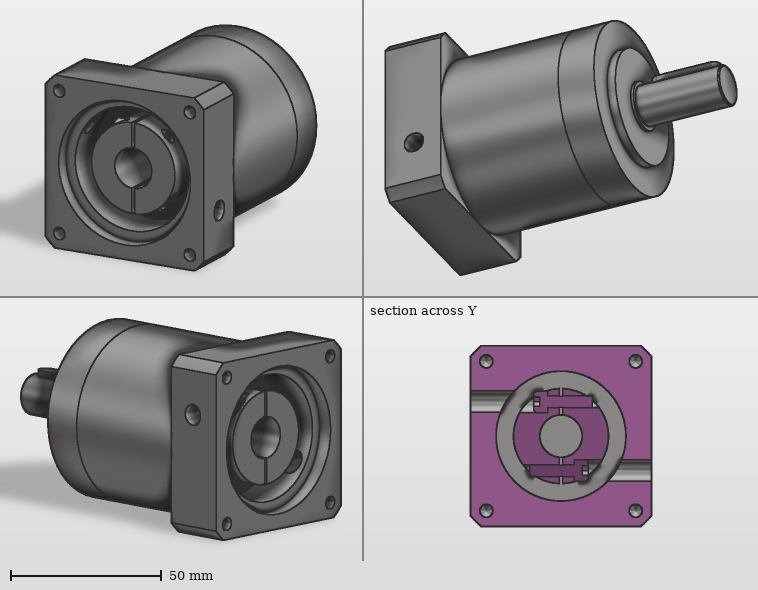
import cadquery as cq


TOTAL_LENGTH = 112.0
FLANGE_THICKNESS = 20.5
RING_END = 64.0
CAP_END = 77.2
PILOT_HEIGHT = 3.0
SHOULDER_HEIGHT = 1.0

HOUSING_WIDTH = 60.0
HOUSING_RADIUS = HOUSING_WIDTH / 2
CORNER_RADIUS = 40.0
PILOT_RADIUS = 20.0

RECESS_RADIUS = 25.0
RECESS_DEPTH = 5.0
CAVITY_RADIUS = 21.5
BOLT_OFFSET = 24.8
BOLT_HOLE_RADIUS = 2.1
BOLT_HOLE_DEPTH = 12.0

COLLAR_RADIUS = 15.8
COLLAR_FACE = 5.9
BORE_RADIUS = 7.0
BORE_DEPTH = 30.0
SLOT_WIDTH = 1.0

SCREW_Y = 10.6
SCREW_Z = 11.4
SHANK_RADIUS = 1.9
SHANK_TIP_X = 10.4
HEAD_RADIUS = 3.6
HEAD_SEAT_X = -4.5
HEAD_END_X = -9.1
HEAD_CHAMFER = 0.7
SOCKET_SIDES = 6
SOCKET_FLATS = 3.0
SOCKET_DEPTH = 2.0
ACCESS_RADIUS = 3.5

SHAFT_RADIUS = 7.0
SHAFT_CHAMFER = 0.5
SHOULDER_RADIUS = 8.5
KEY_WIDTH = 5.0
KEY_LENGTH = 25.0
KEY_TOP = 9.0
KEY_HEIGHT = 5.0
KEY_START = 84.2


def rod_y(radius, start, end):
    """Cylinder on the gearbox axis between two Y positions."""
    return cq.Workplane("XZ", origin=(0, start, 0)).circle(radius).extrude(start - end)


def rod_x(radius, start, end):
    """Cylinder on the upper screw axis between two X positions."""
    return cq.Workplane("YZ", origin=(start, SCREW_Y, SCREW_Z)).circle(radius).extrude(end - start)


def half_turn(body):
    """The body turned by half a turn about the gearbox axis."""
    return body.rotate((0, 0, 0), (0, 1, 0), 180)


def make_flange():
    """Square motor flange with rounded corners."""
    plate = cq.Workplane("XZ").rect(HOUSING_WIDTH, HOUSING_WIDTH).extrude(-FLANGE_THICKNESS)
    plate = plate.intersect(rod_y(CORNER_RADIUS, 0, FLANGE_THICKNESS))
    plate = plate.cut(rod_y(RECESS_RADIUS, 0, RECESS_DEPTH))
    plate = plate.cut(rod_y(CAVITY_RADIUS, 0, FLANGE_THICKNESS))
    cone_tip = BOLT_HOLE_DEPTH + BOLT_HOLE_RADIUS
    drill = (
        cq.Workplane("XY")
        .lineTo(BOLT_HOLE_RADIUS, 0)
        .lineTo(BOLT_HOLE_RADIUS, BOLT_HOLE_DEPTH)
        .lineTo(0, cone_tip)
        .close()
        .revolve(360, (0, 0, 0), (0, 1, 0))
    )
    for x in (-BOLT_OFFSET, BOLT_OFFSET):
        for z in (-BOLT_OFFSET, BOLT_OFFSET):
            plate = plate.cut(drill.translate((x, 0, z)))
    access = rod_x(ACCESS_RADIUS, -HOUSING_RADIUS, HEAD_END_X)
    return plate.cut(access).cut(half_turn(access))


def make_screw():
    """Upper clamp screw: chamfered head at -X, hexagon socket, plain shank to +X."""
    head = rod_x(HEAD_RADIUS, HEAD_END_X, HEAD_SEAT_X).faces("<X").chamfer(HEAD_CHAMFER)
    shank = rod_x(SHANK_RADIUS, HEAD_SEAT_X, SHANK_TIP_X)
    socket = (
        cq.Workplane("YZ", origin=(HEAD_END_X, SCREW_Y, SCREW_Z))
        .polygon(SOCKET_SIDES, SOCKET_FLATS, circumscribed=True)
        .extrude(SOCKET_DEPTH)
        .rotate((0, SCREW_Y, SCREW_Z), (1, SCREW_Y, SCREW_Z), 180 / SOCKET_SIDES)
    )
    return head.union(shank).cut(socket)


def make_ring():
    """Gear ring housing with the slotted clamp collar standing on its input face."""
    ring = rod_y(HOUSING_RADIUS, FLANGE_THICKNESS, RING_END)
    collar = rod_y(COLLAR_RADIUS, COLLAR_FACE, FLANGE_THICKNESS)
    collar_length = FLANGE_THICKNESS - COLLAR_FACE
    slot = cq.Workplane("XY").box(SLOT_WIDTH, collar_length, 2 * COLLAR_RADIUS)
    collar = collar.cut(slot.translate((0, COLLAR_FACE + collar_length / 2, 0)))
    screw_hole = rod_x(SHANK_RADIUS, HEAD_SEAT_X, COLLAR_RADIUS)
    screw_hole = screw_hole.union(rod_x(HEAD_RADIUS, -COLLAR_RADIUS, HEAD_SEAT_X))
    collar = collar.cut(screw_hole).cut(half_turn(screw_hole))
    return ring.union(collar).cut(rod_y(BORE_RADIUS, COLLAR_FACE, BORE_DEPTH))


def make_cap():
    """Output cap with a centring pilot and a through hole for the shaft."""
    cap = rod_y(HOUSING_RADIUS, RING_END, CAP_END)
    pilot_end = CAP_END + PILOT_HEIGHT
    cap = cap.union(rod_y(PILOT_RADIUS, CAP_END, pilot_end))
    return cap.cut(rod_y(SHOULDER_RADIUS, RING_END, pilot_end))


def make_shaft():
    """Output shaft with its bearing shoulder and the feather key on top."""
    shoulder_end = CAP_END + PILOT_HEIGHT + SHOULDER_HEIGHT
    shoulder = rod_y(SHOULDER_RADIUS, RING_END, shoulder_end)
    journal = rod_y(SHAFT_RADIUS, shoulder_end, TOTAL_LENGTH).faces(">Y").chamfer(SHAFT_CHAMFER)
    key = (
        cq.Workplane("XY", origin=(0, KEY_START + KEY_LENGTH / 2, KEY_TOP))
        .slot2D(KEY_LENGTH, KEY_WIDTH, 90)
        .extrude(-KEY_HEIGHT)
    )
    return shoulder.union(journal).union(key)


flange = make_flange()
ring = make_ring()
cap = make_cap()
shaft = make_shaft()
upper_screw = make_screw()
screws = [upper_screw, half_turn(upper_screw)]

result = cq.Compound.makeCompound(
    [
        flange.val(),
        ring.val(),
        cap.val(),
        shaft.val(),
        *[screw.val() for screw in screws],
    ]
)